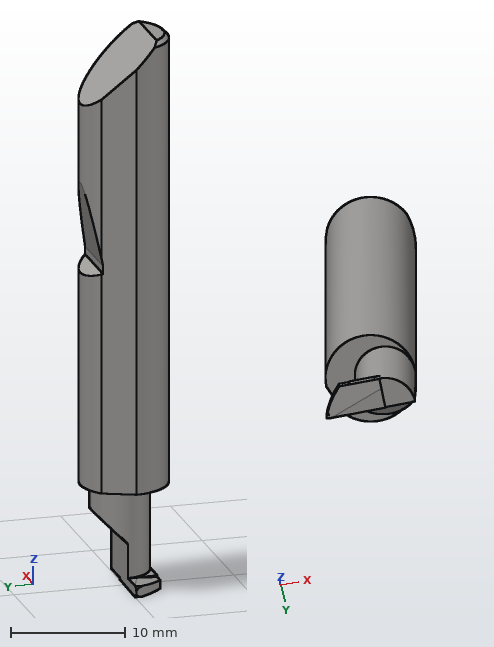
import cadquery as cq
import math

total_length = 50.8
shank_radius = 3.95
shank_bottom = 9.55
span = 4 * shank_radius

end_chamfer = 0.4
bevel_start_y = -2.2
flat_angle = 157.5
flat_distance = 3.65
notch_top = 37.35
notch_floor_top = 30.45
notch_floor_bottom = 29.75
notch_bottom = 29.1
notch_floor_y = 2.7

neck_radius = 2.665
neck_x = shank_radius - neck_radius
neck_bottom = 0.25
runout_bottom = 4.15

tip_reach = shank_radius
tip_heel_x = -2.3
tip_height = 1.05
nose_radius = 0.4
back_narrowing = 0.1
side_relief = 0.15
flank_bulge = 0.2


def side_prism(points):
    """Extrude a (y, z) outline through the whole part along X."""
    return cq.Workplane("YZ").polyline(points).close().extrude(span / 2, both=True)


def make_shank():
    length = total_length - shank_bottom
    shank = cq.Workplane("XY").workplane(offset=shank_bottom).circle(shank_radius).extrude(length)
    shank = shank.faces(">Z").chamfer(end_chamfer)

    bevel_drop = span - bevel_start_y
    bevel = side_prism([
        (bevel_start_y, total_length),
        (span, total_length),
        (span, total_length - bevel_drop),
    ])

    flat_cutter = (
        cq.Workplane("XY")
        .box(span, span, total_length, centered=(False, True, False))
        .translate((flat_distance, 0, 0))
        .rotate((0, 0, 0), (0, 0, 1), flat_angle)
    )

    notch = side_prism([
        (shank_radius, notch_top),
        (notch_floor_y, notch_floor_top),
        (notch_floor_y, notch_floor_bottom),
        (shank_radius, notch_bottom),
    ])
    return shank.cut(bevel).cut(flat_cutter).cut(notch)


def make_neck():
    neck = (
        cq.Workplane("XY", origin=(neck_x, 0, neck_bottom))
        .circle(neck_radius)
        .extrude(shank_bottom - neck_bottom)
    )
    rake_cut = side_prism([
        (0, 0),
        (span, 0),
        (span, runout_bottom + span),
        (0, runout_bottom),
    ])
    return neck.cut(rake_cut)


def make_tip():
    nose_back = -tip_reach + nose_radius
    corner = nose_radius * (1 - math.sqrt(0.5))
    profile = (
        cq.Workplane("XZ")
        .moveTo(neck_x, back_narrowing)
        .lineTo(nose_back, 0)
        .threePointArc((-tip_reach + corner, corner), (-tip_reach, nose_radius))
        .lineTo(-tip_reach, tip_height - nose_radius)
        .threePointArc((-tip_reach + corner, tip_height - corner), (nose_back, tip_height))
        .lineTo(neck_x, tip_height - back_narrowing)
        .close()
        .extrude(neck_radius)
    )

    flank_middle_x = (tip_heel_x - tip_reach) / 2 - flank_bulge
    plan = (
        cq.Workplane("XY")
        .moveTo(-tip_reach, 0)
        .threePointArc((flank_middle_x, -neck_radius / 2), (tip_heel_x, -neck_radius))
        .lineTo(neck_x, -neck_radius)
        .lineTo(neck_x, 0)
        .close()
        .extrude(tip_height)
    )
    relief_wedge = side_prism([
        (0, 0),
        (0, tip_height),
        (-neck_radius, tip_height - side_relief),
        (-neck_radius, side_relief),
    ])

    root = cq.Workplane("XY", origin=(neck_x - neck_radius, -neck_radius, side_relief)).box(
        neck_radius, neck_radius, tip_height - side_relief, centered=False
    )
    return profile.intersect(plan).intersect(relief_wedge).union(root)


result = make_shank().union(make_neck()).union(make_tip())